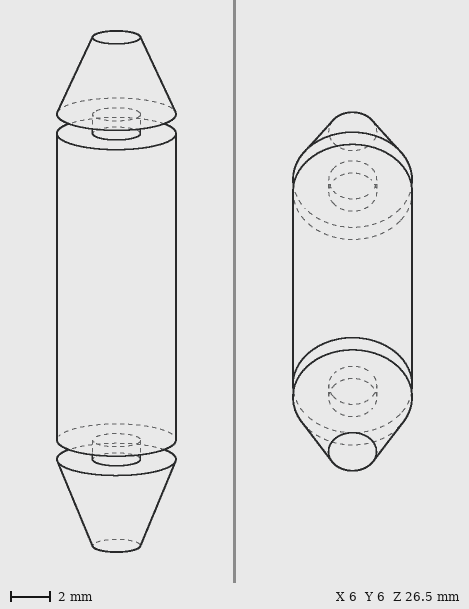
import cadquery as cq

total_length = 26.5
body_radius = 6.0 / 2
tip_radius = 2.4 / 2
neck_radius = tip_radius

lower_cone_length = 4.5
upper_cone_length = 4.0
neck_length = 1.0

body_bottom = lower_cone_length + neck_length
upper_cone_bottom = total_length - upper_cone_length
body_top = upper_cone_bottom - neck_length

profile = (
    cq.Workplane("XZ")
    .lineTo(tip_radius, 0)
    .lineTo(body_radius, lower_cone_length)
    .lineTo(neck_radius, lower_cone_length)
    .lineTo(neck_radius, body_bottom)
    .lineTo(body_radius, body_bottom)
    .lineTo(body_radius, body_top)
    .lineTo(neck_radius, body_top)
    .lineTo(neck_radius, upper_cone_bottom)
    .lineTo(body_radius, upper_cone_bottom)
    .lineTo(tip_radius, total_length)
    .lineTo(0, total_length)
    .close()
)

result = profile.revolve(360, (0, 0, 0), (0, 1, 0))